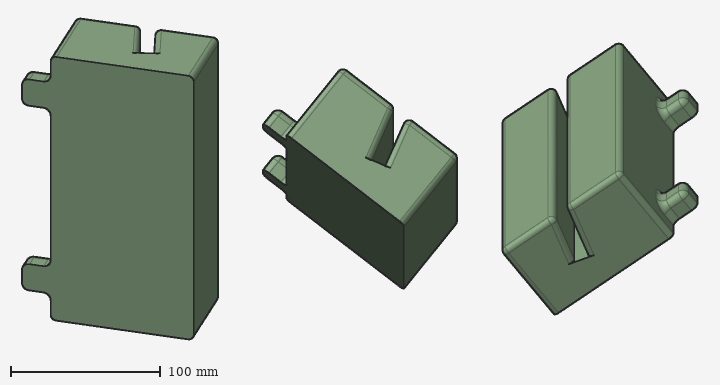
import cadquery as cq
import math

block_width = 100.0
block_depth = 60.0
block_height = 200.0
block_round = 4.0

slot_width = 10.0
slot_length = 38.5
slot_lean = 15.0
slot_mouth_x = block_width / 2

hook_reach = 20.0
hook_depth = 15.0
hook_height = 20.0
hook_round = 5.0
hook_end_gap = 20.0
hook_bottoms = (hook_end_gap, block_height - hook_end_gap - hook_height)

tolerance = 0.02


def make_slotted_block():
    """Plain block with the leaning slot, whose floor is square to its walls."""
    block = cq.Workplane("XY").box(block_width, block_depth, block_height, centered=False)
    overrun = slot_width
    cutter = (
        cq.Workplane("XY")
        .center(slot_mouth_x, block_depth)
        .transformed(rotate=(0, 0, slot_lean))
        .center(0, (overrun - slot_length) / 2)
        .rect(slot_width, slot_length + overrun)
        .extrude(block_height)
    )
    return block.cut(cutter)


def round_block(block):
    """Round the outer edges and the slot rims, leaving the back and the slot floor sharp."""
    lean = math.radians(slot_lean)
    floor_direction = cq.Vector(math.cos(lean), math.sin(lean), 0)
    slot_floor = cq.selectors.ParallelDirSelector(floor_direction)
    return (
        block.faces(">Y or |Z")
        .edges("not <Y")
        .edges(cq.selectors.InverseSelector(slot_floor))
        .fillet(block_round)
    )


def add_hook(block, bottom_z):
    """Add one hook, rounded at its free edges and filleted into the block at its root."""
    sunk = hook_round
    hook = (
        cq.Workplane("XY")
        .box(hook_reach + sunk, hook_depth, hook_height, centered=False)
        .translate((-hook_reach, 0, bottom_z))
        .edges("<X or >Y")
        .edges("not (<Y or >X)")
        .fillet(hook_round)
    )
    root = cq.selectors.BoxSelector(
        (-tolerance, tolerance, bottom_z - tolerance),
        (tolerance, hook_depth + tolerance, bottom_z + hook_height + tolerance),
    )
    return block.union(hook).edges(root).fillet(hook_round)


result = round_block(make_slotted_block())
for hook_bottom in hook_bottoms:
    result = add_hook(result, hook_bottom)